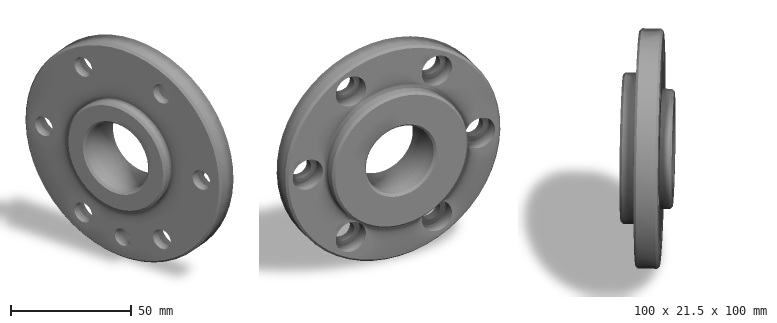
import cadquery as cq
import math

flange_diameter = 100.0
flange_thickness = 10.0
front_boss_diameter = 50.0
front_boss_height = 5.0
rear_boss_diameter = 63.0
rear_boss_height = 6.5
rear_root_fillet = 1.0
bore_diameter = 31.5
edge_chamfer = 1.0

bolt_circle_diameter = 80.0
bolt_count = 6
bolt_hole_diameter = 9.0
counterbore_diameter = 14.0
bolt_seat_thickness = 4.0

pin_hole_diameter = 8.0
pin_hole_depth = 8.0

flange_front = -flange_thickness / 2
flange_rear = flange_thickness / 2
front_face = flange_front - front_boss_height
rear_face = flange_rear + rear_boss_height


def cylinder(diameter, y_start, y_end, x=0.0, z=0.0):
    """Solid cylinder parallel to Y, between two Y positions."""
    direction = cq.Vector(0, 1, 0)
    base = cq.Vector(x, y_start, z)
    return cq.Workplane(cq.Solid.makeCylinder(diameter / 2, y_end - y_start, base, direction))


def make_body():
    """Flange with a boss on each face, chamfered rims and a filleted rear root."""
    flange = cylinder(flange_diameter, flange_front, flange_rear)
    flange = flange.faces("<Y or >Y").edges().chamfer(edge_chamfer)
    front_boss = cylinder(front_boss_diameter, front_face, flange_front)
    front_boss = front_boss.faces("<Y").edges().chamfer(edge_chamfer)
    rear_boss = cylinder(rear_boss_diameter, flange_rear, rear_face)
    rear_boss = rear_boss.faces(">Y").edges().chamfer(edge_chamfer)
    body = flange.union(front_boss).union(rear_boss)

    smallest_circle = cq.selectors.RadiusNthSelector(0)
    root = body.faces(">Y[-2]").edges(smallest_circle)
    return root.fillet(rear_root_fillet)


def cut_bore(body):
    """Through bore, chamfered at both mouths."""
    bored = body.cut(cylinder(bore_diameter, front_face, rear_face))
    smallest_circle = cq.selectors.RadiusNthSelector(0)
    for end in ("<Y", ">Y"):
        bored = bored.faces(end).edges(smallest_circle).chamfer(edge_chamfer)
    return bored


def cut_bolt_holes(body):
    """Evenly spaced through holes, the first on the +X axis."""
    seat = flange_front + bolt_seat_thickness
    for index in range(bolt_count):
        angle = 2 * math.pi * index / bolt_count
        x = bolt_circle_diameter / 2 * math.cos(angle)
        z = bolt_circle_diameter / 2 * math.sin(angle)
        body = body.cut(cylinder(bolt_hole_diameter, flange_front, flange_rear, x, z))
        body = body.cut(cylinder(counterbore_diameter, seat, flange_rear, x, z))
    return body


def cut_pin_hole(body):
    """Flat-bottomed hole from the front of the flange."""
    z = -bolt_circle_diameter / 2
    hole = cylinder(pin_hole_diameter, flange_front, flange_front + pin_hole_depth, z=z)
    return body.cut(hole)


result = cut_pin_hole(cut_bolt_holes(cut_bore(make_body())))